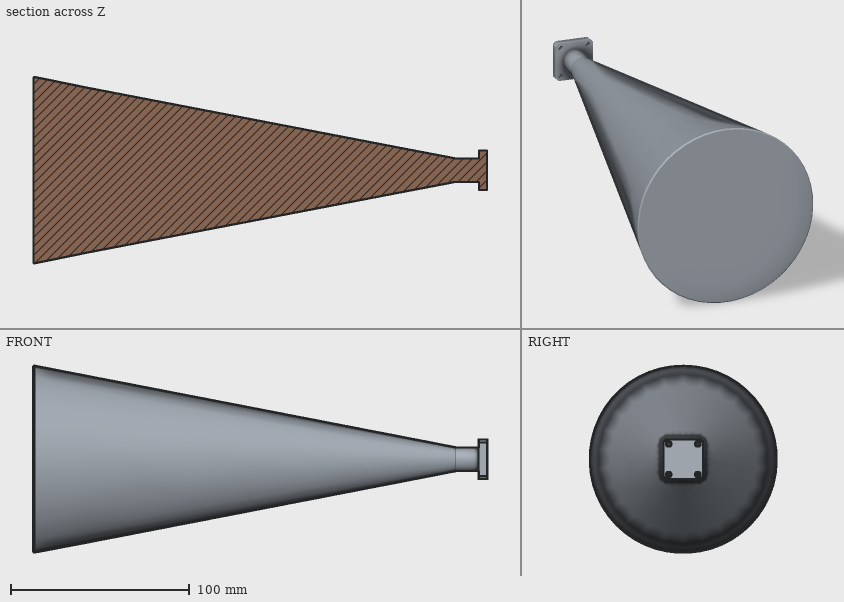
import cadquery as cq

total_length = 254.0
mouth_diameter = 104.6
neck_diameter = 13.4
neck_length = 13.0

mouth_chamfer = 0.7

flange_side = 22.35
flange_thickness = 4.8
flange_corner_chamfer = 1.7
hole_diameter = 2.9
hole_spacing_y = 16.26
hole_spacing_z = 17.02

mouth_x = -total_length / 2
flange_end_x = total_length / 2
flange_start_x = flange_end_x - flange_thickness
neck_start_x = flange_start_x - neck_length


def horn_and_neck():
    """Solid of revolution: tapered horn with a chamfered mouth, then the straight neck."""
    mouth_radius = mouth_diameter / 2
    neck_radius = neck_diameter / 2
    profile = (
        cq.Workplane("XZ")
        .moveTo(mouth_x, 0)
        .lineTo(mouth_x, mouth_radius - mouth_chamfer)
        .lineTo(mouth_x + mouth_chamfer, mouth_radius)
        .lineTo(neck_start_x, neck_radius)
        .lineTo(flange_start_x, neck_radius)
        .lineTo(flange_start_x, 0)
        .close()
    )
    return profile.revolve(360, (0, 0, 0), (1, 0, 0))


def flange():
    """Square plate with chamfered corners and four mounting holes."""
    plate = (
        cq.Workplane("YZ", origin=(flange_start_x, 0, 0))
        .rect(flange_side, flange_side)
        .extrude(flange_thickness)
        .edges("|X")
        .chamfer(flange_corner_chamfer)
    )
    return (
        plate.faces(">X")
        .workplane()
        .rect(hole_spacing_y, hole_spacing_z, forConstruction=True)
        .vertices()
        .hole(hole_diameter)
    )


result = horn_and_neck().union(flange())